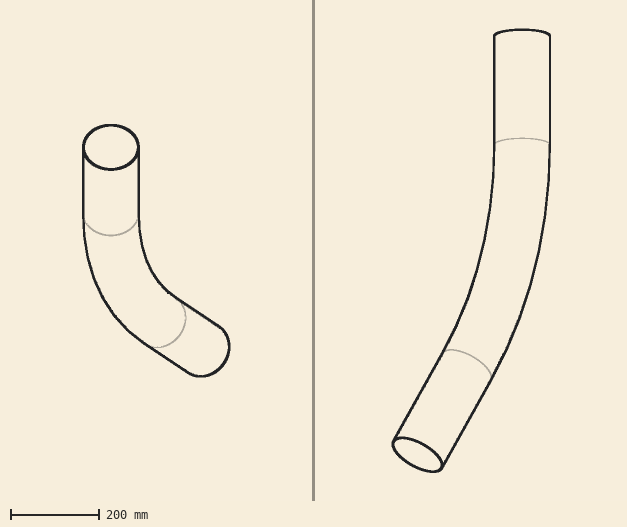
import cadquery as cq
import math

total_height = 1039.0
outer_diameter = 127.0
inner_diameter = 123.0
straight_length = 254.0
bend_angle = 30.0

angle = math.radians(bend_angle)
rim_drop = outer_diameter / 2 * math.sin(angle)

bend_height = total_height - rim_drop - straight_length * (1 + math.cos(angle))
bend_radius = bend_height / math.sin(angle)


def bend_point(turn):
    """Centreline point (Y, Z) after turning by the given angle."""
    y = bend_radius * (1 - math.cos(turn))
    z = -straight_length - bend_radius * math.sin(turn)
    return (y, z)


bend_end = bend_point(angle)
lower_end = (
    bend_end[0] + straight_length * math.sin(angle),
    bend_end[1] - straight_length * math.cos(angle),
)
centreline = (
    cq.Workplane("YZ")
    .moveTo(0, 0)
    .lineTo(0, -straight_length)
    .threePointArc(bend_point(angle / 2), bend_end)
    .lineTo(*lower_end)
)

result = (
    cq.Workplane("XY")
    .circle(outer_diameter / 2)
    .circle(inner_diameter / 2)
    .sweep(centreline)
)